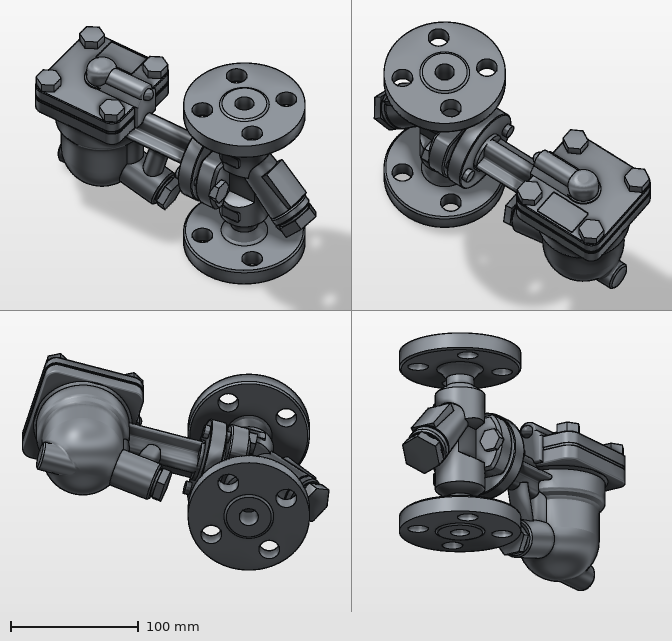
import cadquery as cq
import math


OVERALL_LENGTH = 240.0
OVERALL_HEIGHT = 150.0
EDGE_BREAK = 0.7

HALF_HEIGHT = OVERALL_HEIGHT / 2
FLANGE_DIA = 95.0
FLANGE_OUTER_Z = 74.0
FLANGE_INNER_Z = 60.5
FLANGE_CHAMFER = 1.5
FACE_FOOT_DIA = 39.0
FACE_DIA = 35.0
HUB_DIA = 32.2
HUB_FOOT_Z = 59.0
HUB_FOOT_DIA = 36.5
NECK_DIA = 21.5
NECK_OUTER_Z = 52.8
NECK_INNER_Z = 45.8
BODY_DIA = 39.0
BODY_HALF = 40.0
BODY_EDGE = 1.0
BORE_DIA = 15.0
BOLT_HOLE_DIA = 16.0
BOLT_CIRCLE_DIA = 66.7
BOLT_HOLE_COUNT = 4

PAD_WIDTH = 15.8
PAD_HEIGHT = 9.8
PAD_OFFSET_Z = 28.8
PAD_ROUND = 1.7
PAD_PROUD = 0.2

LINK_Z = -2.0
DISC_DIA = 67.2
DISC_LEFT = -40.0
DISC_RIGHT = -27.0
OVAL_LEFT = -23.5
OVAL_RIGHT = -7.2
OVAL_HEIGHT = 45.4
OVAL_CORNER = 4.8
OVAL_CHAMFER = 1.2
OVAL_RIM = 2.5
GASKET_DIA = 35.0
WELD_DIA = 32.2
WELD_LENGTH = 3.0
STUD_OFFSET = 26.0
STUD_DIA = 8.6
STUD_HEAD_DIA = 10.0
STUD_HEAD_LEFT = -44.5
NUT_FLATS = 16.0
NUT_RIGHT = -3.0
RAIL_LEFT = -108.0
RAIL_WIDTH = 12.0
RAIL_HEIGHT = 32.6
RIB_WIDTH = 32.6
RIB_THICKNESS = 4.5
RIB_FILLET = 2.5

WAIST_WIDTH = 20.2
WAIST_TOP = 15.4
WAIST_BOTTOM = -19.2
WAIST_TOP_SLOPE = 4.8
WAIST_BOTTOM_SLOPE = 4.8

BRANCH_ANGLE = 45.0
BRANCH_OFFSET = 19.5
BRANCH_START = -4.8
BRANCH_START_DIA = 27.4
BRANCH_DIA = 32.2
BRANCH_COLLAR_DIA = 32.6
BRANCH_COLLAR_START = 38.5
BRANCH_COLLAR_END = 45.8
BRANCH_COLLAR_EDGE = 1.5
BRANCH_PLUG_DIA = 27.4
BRANCH_HEX_CORNERS = 33.0
BRANCH_HEX_START = 48.0
BRANCH_HEX_TURN = 15.0
STRIP_WIDTH = 21.0
STRIP_START = 4.5
STRIP_END = 37.5
STRIP_TOP = 16.3

TRAP_X = -135.0
COVER_LENGTH = 79.7
COVER_WIDTH = 80.2
COVER_CORNER = 9.0
COVER_TOP = 30.7
COVER_BOTTOM = 21.0
GASKET_BOTTOM = 19.0
GASKET_INSET = 0.5
BODY_FLANGE_BOTTOM = 6.7
BODY_FLANGE_ROUND = 2.2
SHOULDER_DIA = 73.0
SHOULDER_FLARE = 2.2
SHOULDER_BOTTOM = -12.2
SHOULDER_ROUND = 4.3
BARREL_DIA = 63.8
BARREL_TOP = -17.3
BARREL_BOTTOM = -42.0
BOTTOM_Z = -74.0
COVER_BOLT_PITCH = 60.0
COVER_BOLT_FLATS = 17.0
COVER_BOLT_TOP = 38.2
LUG_PROUD = 3.0
LUG_ROUND = 1.5
LUG_WIDTH = 26.0

DOME_DIA = 24.0
DOME_TOP = 46.0
DOME_ROUND = 7.7
DOME_FOOT_DIA = 27.4
DOME_FOOT_HEIGHT = 1.2
DUCT_Z = 35.8
DUCT_DIA = 16.3
BALL_DIA = 10.0
PLATE_Y = 27.0
PLATE_LENGTH = 34.0
PLATE_WIDTH = 21.8
PLATE_THICKNESS = 0.7
PLATE_CORNER = 1.0

DRAIN_DIA = 22.0
DRAIN_Z = -62.5
DRAIN_LEFT = -170.2
DRAIN_CHAMFER = 1.5
DRAIN_FILLET = 2.2

PORT_ANGLE = 15.0
PORT_OFFSET = -75.0
PORT_DIA = 29.8
PORT_START = -110.5
PORT_END = -58.5
PORT_CHAMFER = 1.5
PORT_NECK_DIA = 22.0
PORT_HEX_FLATS = 24.0
PORT_HEX_START = -56.5
PORT_HEX_END = -50.0
LEG_DIA = 16.0
LEG_STATION = -73.2
LEG_TOP = -11.5
DOWNPIPE_DIA = 20.2
DOWNPIPE_X = -107.8
DOWNPIPE_TOP = -7.2
DOWNPIPE_BOTTOM = -49.2


def rod_x(diameter, left, right, y=0.0, z=0.0):
    """Cylinder along +X."""
    plane = cq.Plane((left, y, z), xDir=(0, 1, 0), normal=(1, 0, 0))
    return cq.Workplane(plane).circle(diameter / 2).extrude(right - left)


def sloped_plane(angle, offset, station):
    """Plane facing along an axis that falls by `angle` towards +X in the XZ plane.

    `station` runs along the axis from the point nearest the origin and `offset`
    is the distance of the axis above the origin. Local x is +Y.
    """
    fall = math.radians(angle)
    along = (math.cos(fall), -math.sin(fall))
    across = (math.sin(fall), math.cos(fall))
    x = station * along[0] + offset * across[0]
    z = station * along[1] + offset * across[1]
    return cq.Plane((x, 0, z), xDir=(0, 1, 0), normal=(along[0], 0, along[1]))


def corners_across(flats):
    return flats / math.cos(math.pi / 6)


def valve_pipe():
    """Turned pipe with both end flanges and the raised sealing faces."""
    upper = [
        (BODY_DIA / 2, BODY_HALF - BODY_EDGE),
        (BODY_DIA / 2 - BODY_EDGE, BODY_HALF),
        (NECK_DIA / 2, NECK_INNER_Z),
        (NECK_DIA / 2, NECK_OUTER_Z),
        (HUB_DIA / 2, HUB_FOOT_Z),
        (HUB_FOOT_DIA / 2, FLANGE_INNER_Z),
        (FLANGE_DIA / 2 - FLANGE_CHAMFER, FLANGE_INNER_Z),
        (FLANGE_DIA / 2, FLANGE_INNER_Z + FLANGE_CHAMFER),
        (FLANGE_DIA / 2, FLANGE_OUTER_Z),
        (FACE_FOOT_DIA / 2, FLANGE_OUTER_Z),
        (FACE_DIA / 2, HALF_HEIGHT),
        (0, HALF_HEIGHT),
    ]
    lower = [(r, -z) for r, z in reversed(upper)]
    return cq.Workplane("XZ").polyline(lower + upper).close().revolve(360, (0, 0), (0, 1))


def identification_pads():
    depth = BODY_DIA / 2 + PAD_PROUD
    return (
        cq.Workplane("XZ")
        .pushPoints([(0, PAD_OFFSET_Z), (0, -PAD_OFFSET_Z)])
        .rect(PAD_WIDTH, PAD_HEIGHT)
        .extrude(depth)
        .edges("|Y")
        .fillet(PAD_ROUND)
    )


def cut_flange_holes(part):
    """Four bolt holes through both flanges and a blind bore from each end."""
    thickness = HALF_HEIGHT - FLANGE_INNER_Z
    for bottom in (FLANGE_INNER_Z, -HALF_HEIGHT):
        holes = cq.Workplane("XY", origin=(0, 0, bottom))
        holes = holes.polarArray(BOLT_CIRCLE_DIA / 2, 45, 360, BOLT_HOLE_COUNT)
        part = part.cut(holes.circle(BOLT_HOLE_DIA / 2).extrude(thickness))
    depth = HALF_HEIGHT - NECK_OUTER_Z
    for bottom in (NECK_OUTER_Z, -HALF_HEIGHT):
        bore = cq.Workplane("XY", origin=(0, 0, bottom)).circle(BORE_DIA / 2)
        part = part.cut(bore.extrude(depth))
    return part


def oval_flange():
    """Round flange trimmed flat above and below, with a rim narrowing towards the pipe."""
    length = OVAL_RIGHT - OVAL_LEFT
    trim = cq.Workplane("XY").box(length, DISC_DIA, OVAL_HEIGHT)
    trim = trim.translate(((OVAL_LEFT + OVAL_RIGHT) / 2, 0, LINK_Z))
    flange = rod_x(DISC_DIA, OVAL_LEFT, OVAL_RIGHT, z=LINK_Z).intersect(trim)
    flat_ends = cq.selectors.BoxSelector(
        (OVAL_LEFT, -DISC_DIA, LINK_Z - DISC_DIA),
        (OVAL_RIGHT, DISC_DIA, LINK_Z - OVAL_HEIGHT / 4),
    ) + cq.selectors.BoxSelector(
        (OVAL_LEFT, -DISC_DIA, LINK_Z + OVAL_HEIGHT / 4),
        (OVAL_RIGHT, DISC_DIA, LINK_Z + DISC_DIA),
    )
    flange = flange.edges("|X").edges(flat_ends).fillet(OVAL_CORNER)
    return flange.faces("<X").chamfer(OVAL_CHAMFER).faces(">X").chamfer(OVAL_RIM)


def waist_cuts():
    """Side recesses with sloping ends that leave the pipe flat and narrow at mid height."""
    inner = WAIST_WIDTH / 2
    outer = BODY_DIA / 2
    outline = [
        (outer, WAIST_TOP),
        (inner, WAIST_TOP - WAIST_TOP_SLOPE),
        (inner, WAIST_BOTTOM + WAIST_BOTTOM_SLOPE),
        (outer, WAIST_BOTTOM),
    ]
    cut = cq.Workplane("YZ").polyline(outline).close().extrude(BODY_DIA / 2, both=True)
    return cut.union(cut.mirror("XZ"))


def bolted_joint():
    """Link disc, gasket and the two studs with heads and nuts."""
    joint = rod_x(DISC_DIA, DISC_LEFT, DISC_RIGHT, z=LINK_Z).edges().chamfer(EDGE_BREAK)
    joint = joint.union(rod_x(GASKET_DIA, DISC_RIGHT, OVAL_LEFT, z=LINK_Z))
    joint = joint.union(rod_x(WELD_DIA, DISC_LEFT - WELD_LENGTH, DISC_LEFT, z=LINK_Z))
    for y in (-STUD_OFFSET, STUD_OFFSET):
        stud = rod_x(STUD_DIA, DISC_LEFT, OVAL_RIGHT, y, LINK_Z)
        head = rod_x(STUD_HEAD_DIA, STUD_HEAD_LEFT, DISC_LEFT, y, LINK_Z)
        nut_plane = cq.Plane((OVAL_RIGHT - OVAL_RIM, y, LINK_Z), xDir=(0, 1, 0), normal=(1, 0, 0))
        nut_length = NUT_RIGHT - OVAL_RIGHT + OVAL_RIM
        nut = cq.Workplane(nut_plane).polygon(6, corners_across(NUT_FLATS)).extrude(nut_length)
        joint = joint.union(stud).union(head).union(nut)
    return joint


def link_rails():
    """Upright round-edged rail crossed by a round-edged horizontal rib."""
    plane = cq.Plane((RAIL_LEFT, 0, LINK_Z), xDir=(0, 1, 0), normal=(1, 0, 0))
    length = DISC_LEFT - RAIL_LEFT
    rail = cq.Workplane(plane).slot2D(RAIL_HEIGHT, RAIL_WIDTH, 90).extrude(length)
    rib = cq.Workplane(plane).slot2D(RIB_WIDTH, RIB_THICKNESS).extrude(length)
    inner_corners = cq.selectors.BoxSelector(
        (RAIL_LEFT, -RAIL_WIDTH, LINK_Z - RIB_THICKNESS),
        (DISC_LEFT, RAIL_WIDTH, LINK_Z + RIB_THICKNESS),
    )
    return rail.union(rib).edges("|X").edges(inner_corners).fillet(RIB_FILLET)


def strainer_branch():
    """Sloping strainer housing with collar, flat strip on top and hexagon plug."""
    def at(station):
        return cq.Workplane(sloped_plane(BRANCH_ANGLE, BRANCH_OFFSET, station))

    length = BRANCH_COLLAR_START - BRANCH_START
    housing = at(BRANCH_START).circle(BRANCH_START_DIA / 2)
    housing = housing.workplane(offset=length).circle(BRANCH_DIA / 2).loft()
    collar = at(BRANCH_COLLAR_START).circle(BRANCH_COLLAR_DIA / 2)
    collar = collar.extrude(BRANCH_COLLAR_END - BRANCH_COLLAR_START).edges().chamfer(BRANCH_COLLAR_EDGE)
    neck = at(BRANCH_COLLAR_END).circle(BRANCH_PLUG_DIA / 2).extrude(BRANCH_HEX_START - BRANCH_COLLAR_END)
    fall = math.radians(BRANCH_ANGLE)
    corner = BRANCH_OFFSET + BRANCH_HEX_CORNERS / 2 * math.cos(math.radians(BRANCH_HEX_TURN))
    part_right = TRAP_X - COVER_LENGTH / 2 + OVERALL_LENGTH
    hex_end = (part_right - corner * math.sin(fall)) / math.cos(fall)
    hexagon = at(BRANCH_HEX_START).transformed(rotate=(0, 0, BRANCH_HEX_TURN))
    hexagon = hexagon.polygon(6, BRANCH_HEX_CORNERS).extrude(hex_end - BRANCH_HEX_START)
    strip = at(STRIP_START).center(0, STRIP_TOP / 2).rect(STRIP_WIDTH, STRIP_TOP)
    strip = strip.extrude(STRIP_END - STRIP_START)
    return housing.union(collar).union(neck).union(hexagon).union(strip)


def cover_plate(bottom, top, inset=0.0):
    plate = cq.Workplane("XY", origin=(TRAP_X, 0, bottom))
    plate = plate.rect(COVER_LENGTH - 2 * inset, COVER_WIDTH - 2 * inset).extrude(top - bottom)
    return plate.edges("|Z").fillet(COVER_CORNER)


def trap_body():
    """Square flange, gasket and cover above a stepped round-bottomed barrel with a drain boss."""
    flange = cover_plate(BODY_FLANGE_BOTTOM, GASKET_BOTTOM)
    flange = flange.faces("<Z").edges().fillet(BODY_FLANGE_ROUND)
    gasket = cover_plate(GASKET_BOTTOM, COVER_BOTTOM, GASKET_INSET)
    cover = cover_plate(COVER_BOTTOM, COVER_TOP).faces(">Z").edges().chamfer(EDGE_BREAK)
    barrel_radius = BARREL_DIA / 2
    depth = BARREL_BOTTOM - BOTTOM_Z
    diagonal = math.sqrt(0.5)
    barrel = (
        cq.Workplane("XZ", origin=(TRAP_X, 0, 0))
        .moveTo(0, BODY_FLANGE_BOTTOM)
        .lineTo(SHOULDER_DIA / 2 + SHOULDER_FLARE, BODY_FLANGE_BOTTOM)
        .lineTo(SHOULDER_DIA / 2, BODY_FLANGE_BOTTOM - SHOULDER_FLARE)
        .lineTo(SHOULDER_DIA / 2, SHOULDER_BOTTOM)
        .lineTo(barrel_radius, BARREL_TOP)
        .lineTo(barrel_radius, BARREL_BOTTOM)
        .threePointArc((barrel_radius * diagonal, BARREL_BOTTOM - depth * diagonal), (0, BOTTOM_Z))
        .close()
        .revolve(360, (0, 0), (0, 1))
    )
    step = cq.selectors.BoxSelector(
        (TRAP_X - SHOULDER_DIA, -SHOULDER_DIA, BARREL_TOP - SHOULDER_ROUND),
        (TRAP_X + SHOULDER_DIA, SHOULDER_DIA, SHOULDER_BOTTOM + SHOULDER_ROUND),
    )
    barrel = barrel.edges("%CIRCLE").edges(step).fillet(SHOULDER_ROUND)
    drain = rod_x(DRAIN_DIA, DRAIN_LEFT, TRAP_X, z=DRAIN_Z).faces("<X").chamfer(DRAIN_CHAMFER)
    drain_joint = cq.selectors.BoxSelector(
        (DRAIN_LEFT + 2 * DRAIN_CHAMFER, -DRAIN_DIA, BOTTOM_Z),
        (TRAP_X, DRAIN_DIA, DRAIN_Z + DRAIN_DIA),
    )
    barrel = barrel.union(drain).edges(drain_joint).edges("not %LINE").fillet(DRAIN_FILLET)
    return flange.union(gasket).union(cover).union(barrel)


def cover_bolts():
    return (
        cq.Workplane("XY", origin=(TRAP_X, 0, COVER_TOP))
        .transformed(rotate=(0, 0, 90))
        .rarray(COVER_BOLT_PITCH, COVER_BOLT_PITCH, 2, 2)
        .polygon(6, corners_across(COVER_BOLT_FLATS))
        .extrude(COVER_BOLT_TOP - COVER_TOP)
    )


def cover_top_details():
    """Dome, horizontal duct with its ball end, side lug and name plate."""
    base = cq.Workplane("XY", origin=(TRAP_X, 0, COVER_TOP))
    dome = base.circle(DOME_DIA / 2).extrude(DOME_TOP - COVER_TOP).faces(">Z").edges().fillet(DOME_ROUND)
    foot = base.circle(DOME_FOOT_DIA / 2).extrude(DOME_FOOT_HEIGHT)
    lug_right = TRAP_X + COVER_LENGTH / 2 + LUG_PROUD
    plane = cq.Plane((TRAP_X, 0, 0), xDir=(0, 1, 0), normal=(1, 0, 0))
    duct = (
        cq.Workplane(plane)
        .moveTo(DUCT_DIA / 2, DUCT_Z)
        .threePointArc((0, DUCT_Z + DUCT_DIA / 2), (-DUCT_DIA / 2, DUCT_Z))
        .lineTo(-LUG_WIDTH / 2, COVER_TOP)
        .lineTo(-LUG_WIDTH / 2, BODY_FLANGE_BOTTOM + BODY_FLANGE_ROUND)
        .lineTo(LUG_WIDTH / 2, BODY_FLANGE_BOTTOM + BODY_FLANGE_ROUND)
        .lineTo(LUG_WIDTH / 2, COVER_TOP)
        .close()
        .extrude(lug_right - TRAP_X)
        .faces(">X")
        .edges()
        .fillet(LUG_ROUND)
    )
    ball = cq.Workplane("XY", origin=(lug_right, 0, DUCT_Z)).sphere(BALL_DIA / 2)
    plate = cq.Workplane("XY", origin=(TRAP_X, PLATE_Y, COVER_TOP))
    plate = plate.rect(PLATE_LENGTH, PLATE_WIDTH).extrude(PLATE_THICKNESS)
    plate = plate.edges("|Z").fillet(PLATE_CORNER)
    details = dome
    for piece in (foot, duct, ball, plate):
        details = details.union(piece)
    return details


def return_port():
    """Sloping port with hexagon plug, the leg up to the link and the pipe beside the barrel."""
    def at(station):
        return cq.Workplane(sloped_plane(PORT_ANGLE, PORT_OFFSET, station))

    port = at(PORT_START).circle(PORT_DIA / 2).extrude(PORT_END - PORT_START)
    port = port.faces(">X").chamfer(PORT_CHAMFER)
    neck = at(PORT_END).circle(PORT_NECK_DIA / 2).extrude(PORT_HEX_START - PORT_END)
    hexagon = at(PORT_HEX_START).polygon(6, corners_across(PORT_HEX_FLATS))
    hexagon = hexagon.extrude(PORT_HEX_END - PORT_HEX_START)
    station_plane = sloped_plane(PORT_ANGLE, PORT_OFFSET, LEG_STATION)
    leg_plane = cq.Plane(station_plane.origin, xDir=(0, 1, 0), normal=station_plane.yDir)
    leg_length = (LEG_TOP - leg_plane.origin.z) / math.cos(math.radians(PORT_ANGLE))
    leg = cq.Workplane(leg_plane).circle(LEG_DIA / 2).extrude(leg_length)
    downpipe = cq.Workplane("XY", origin=(DOWNPIPE_X, 0, DOWNPIPE_BOTTOM)).circle(DOWNPIPE_DIA / 2)
    downpipe = downpipe.extrude(DOWNPIPE_TOP - DOWNPIPE_BOTTOM)
    return port.union(neck).union(hexagon).union(leg).union(downpipe)


result = valve_pipe().cut(waist_cuts())
for piece in (
    identification_pads(),
    oval_flange(),
    bolted_joint(),
    link_rails(),
    strainer_branch(),
    trap_body(),
    cover_bolts(),
    cover_top_details(),
    return_port(),
):
    result = result.union(piece)
result = cut_flange_holes(result)